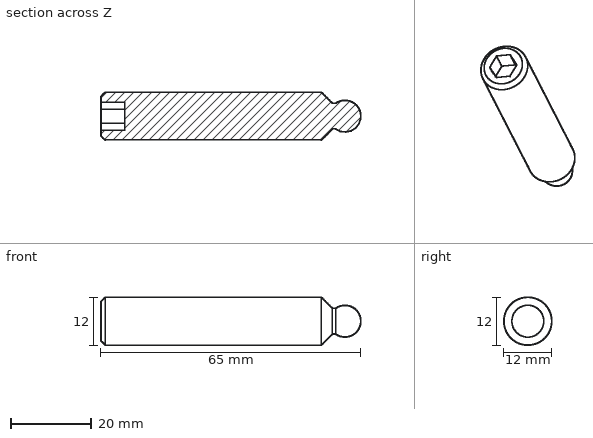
import cadquery as cq
import math

length = 65.0
body_diameter = 12.0
end_chamfer = 1.1
neck_diameter = 6.5
ball_diameter = 8.0
shoulder_start = 55.1
socket_across_flats = 6.0
socket_depth = 6.0

body_radius = body_diameter / 2
neck_radius = neck_diameter / 2
ball_radius = ball_diameter / 2

shoulder_end = shoulder_start + body_radius - neck_radius
ball_center = length - ball_radius
neck_end = ball_center - math.sqrt(ball_radius**2 - neck_radius**2)


def turned_body():
    """Half profile above the X axis, revolved about that axis."""
    profile = (
        cq.Workplane("XY")
        .moveTo(0, 0)
        .lineTo(0, body_radius - end_chamfer)
        .lineTo(end_chamfer, body_radius)
        .lineTo(shoulder_start, body_radius)
        .lineTo(shoulder_end, neck_radius)
        .lineTo(neck_end, neck_radius)
        .threePointArc((ball_center, ball_radius), (length, 0))
        .close()
    )
    return profile.revolve(360, (0, 0, 0), (1, 0, 0))


def hexagon_socket():
    """Hexagonal prism with corners on the Y axis and flats facing Z."""
    across_corners = socket_across_flats / math.cos(math.pi / 6)
    return cq.Workplane("YZ").polygon(6, across_corners).extrude(socket_depth)


result = turned_body().cut(hexagon_socket())